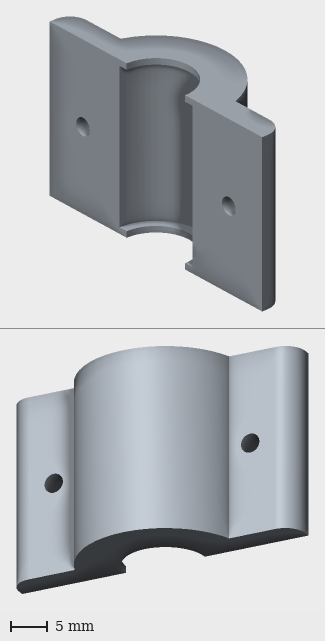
import cadquery as cq

width = 43.7
height = 27.0
barrel_radius = 12.45

flange_thickness = 4.0
flange_corner_radius = 3.0
hole_diameter = 2.8
hole_spacing = 29.95

bore_diameter = 15.0
lip_diameter = 12.0
lip_thickness = 1.0


def half_body():
    """Solid half barrel standing on its flat mating face at Y = 0."""
    barrel = cq.Workplane("XY").circle(barrel_radius).extrude(height)
    keep = cq.Workplane("XY").box(width, barrel_radius, height, centered=(True, False, False))
    return barrel.intersect(keep)


def flange_plate():
    """Flat plate along the mating face, rounded on its two outer back edges."""
    plate = cq.Workplane("XY").box(width, flange_thickness, height, centered=(True, False, False))
    return plate.edges("|Z and >Y").fillet(flange_corner_radius)


def bore():
    """Full-length lip opening, widened between the two end lips."""
    lip_opening = cq.Workplane("XY").circle(lip_diameter / 2).extrude(height)
    seat = (
        cq.Workplane("XY", origin=(0, 0, lip_thickness))
        .circle(bore_diameter / 2)
        .extrude(height - 2 * lip_thickness)
    )
    return lip_opening.union(seat)


def screw_holes():
    """One through hole at mid-height in each flange."""
    return (
        cq.Workplane("XZ", origin=(0, 0, height / 2))
        .pushPoints([(-hole_spacing / 2, 0), (hole_spacing / 2, 0)])
        .circle(hole_diameter / 2)
        .extrude(-flange_thickness)
    )


result = half_body().union(flange_plate()).cut(bore()).cut(screw_holes())